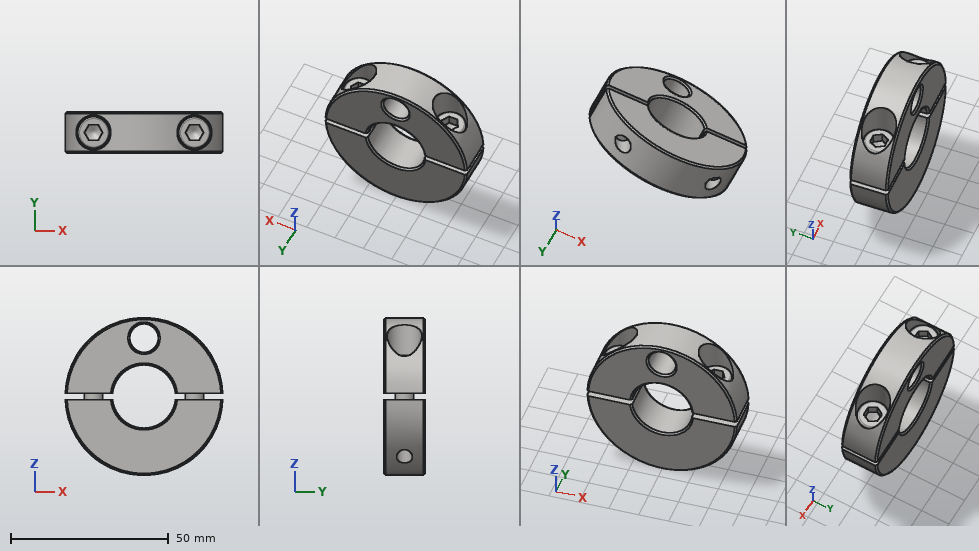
import cadquery as cq
import math

outer_diameter = 50.0
bore_diameter = 20.0
width = 13.0
edge_chamfer = 0.6
split_gap = 2.0

cross_hole_diameter = 9.0
cross_hole_height = 18.5

screw_spacing = 32.0
thread_diameter = 6.0
screw_length = 20.0
head_diameter = 10.0
head_height = 6.0
head_top_z = 13.0
head_edge_radius = 0.5
hex_across_flats = 5.0
hex_depth = 3.0
hex_tip_angle = 120.0

counterbore_diameter = 11.0
tap_drill_diameter = 5.0

outer_radius = outer_diameter / 2
seat_z = head_top_z - head_height
screw_tip_z = seat_z - screw_length
screw_positions = [-screw_spacing / 2, screw_spacing / 2]


def z_cylinder(x, diameter, bottom_z, top_z):
    """Upright cylinder on a screw axis at the given X."""
    return cq.Workplane("XY", origin=(x, 0, bottom_z)).circle(diameter / 2).extrude(top_z - bottom_z)


def y_hole_cutter(diameter, z):
    """Cutter for a hole along Y with both mouths chamfered."""
    radius = diameter / 2
    mouth_radius = radius + edge_chamfer
    half_width = width / 2
    profile = [
        (0, -half_width),
        (mouth_radius, -half_width),
        (radius, -half_width + edge_chamfer),
        (radius, half_width - edge_chamfer),
        (mouth_radius, half_width),
        (0, half_width),
    ]
    return cq.Workplane("XY", origin=(0, 0, z)).polyline(profile).close().revolve(360, (0, 0), (0, 1))


def make_half_ring(side):
    """Chamfered half of the collar: side = 1 is above the split, side = -1 below it."""
    ring = cq.Workplane("XZ").circle(outer_radius).extrude(width / 2, both=True)
    ring = ring.edges("%CIRCLE").chamfer(edge_chamfer)
    ring = ring.cut(y_hole_cutter(bore_diameter, 0))
    keep_center_z = side * (split_gap + outer_diameter) / 2
    keep_box = cq.Workplane("XY", origin=(0, 0, keep_center_z)).box(outer_diameter, width, outer_diameter)
    return ring.intersect(keep_box)


def make_upper_half():
    half = make_half_ring(1)
    half = half.cut(y_hole_cutter(cross_hole_diameter, cross_hole_height))
    for x in screw_positions:
        half = half.cut(z_cylinder(x, thread_diameter, 0, seat_z))
        half = half.cut(z_cylinder(x, counterbore_diameter, seat_z, outer_radius))
    return half


def make_lower_half():
    """Threaded half: full thread diameter down to the screw tip, tap drill size on through."""
    half = make_half_ring(-1)
    for x in screw_positions:
        half = half.cut(z_cylinder(x, thread_diameter, screw_tip_z, 0))
        half = half.cut(z_cylinder(x, tap_drill_diameter, -outer_radius, screw_tip_z))
    return half


def hex_socket_cutter(x):
    """Hexagonal socket with corners on the X direction and a conical bottom."""
    corner_radius = hex_across_flats / math.sqrt(3)
    tip_height = corner_radius / math.tan(math.radians(hex_tip_angle / 2))
    tip_z = -hex_depth - tip_height
    prism = cq.Workplane("XY", origin=(x, 0, head_top_z)).polygon(6, 2 * corner_radius).extrude(tip_z)
    pointed_profile = [(0, 0), (corner_radius, 0), (corner_radius, -hex_depth), (0, tip_z)]
    pointed_cylinder = (
        cq.Workplane("XZ", origin=(x, 0, head_top_z))
        .polyline(pointed_profile)
        .close()
        .revolve(360, (0, 0), (0, 1))
    )
    return prism.intersect(pointed_cylinder)


def make_screw(x):
    head = z_cylinder(x, head_diameter, seat_z, head_top_z).faces(">Z").edges().fillet(head_edge_radius)
    shank = z_cylinder(x, thread_diameter, screw_tip_z, seat_z)
    return head.union(shank).cut(hex_socket_cutter(x))


upper_half = make_upper_half()
lower_half = make_lower_half()
screws = [make_screw(x) for x in screw_positions]

result = cq.Compound.makeCompound([upper_half.val(), lower_half.val(), *[screw.val() for screw in screws]])